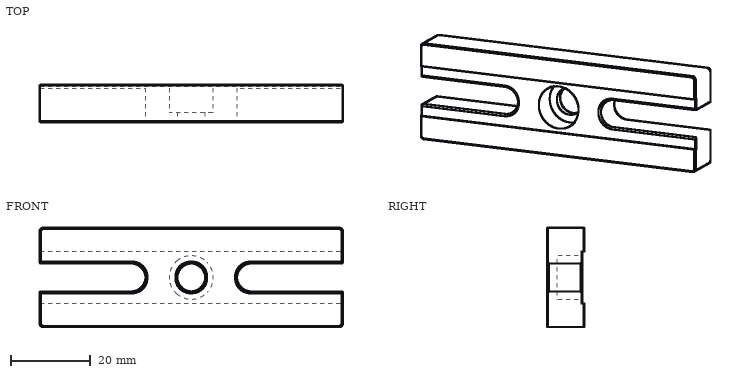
import cadquery as cq
import math

length = 76.2
thickness = 9.5
height = 25.0
corner_radius = 1.0
rim_chamfer = 0.3

channel_width = 13.0
channel_depth = 0.5

bore_diameter = 7.0
bore_chamfer = 0.5
chamfer_angle = 45.0
chamfer_width = bore_diameter + 2 * bore_chamfer
slot_end_center = 15.0
mouth_radius = 0.5

counterbore_diameter = 11.0
bore_land = 2.5

front_y = -thickness / 2
back_y = thickness / 2
channel_floor_y = back_y - channel_depth
end_x = length / 2


def plane_at(y, toward_back=True):
    """Workplane parallel to XZ at the given Y, with its normal along +Y or -Y."""
    normal_y = 1 if toward_back else -1
    return cq.Workplane(cq.Plane(origin=(0, y, 0), xDir=(1, 0, 0), normal=(0, normal_y, 0)))


def make_bar(rear_y):
    """Round-cornered bar from the front face to rear_y, with both rims chamfered."""
    bar = plane_at(front_y).rect(length, height).extrude(rear_y - front_y)
    bar = bar.edges("|Y").fillet(corner_radius)
    return bar.faces("<Y or >Y").edges().chamfer(rim_chamfer)


def make_body():
    """Full-thickness rails above and below a thinner web, each keeping its own rim chamfers."""
    channel_strip = plane_at(front_y).rect(length, channel_width).extrude(thickness)
    rails = make_bar(back_y).cut(channel_strip)
    web = make_bar(channel_floor_y).intersect(channel_strip)
    return rails.union(web)


def make_hole():
    """Centre hole, chamfered at the front and counterbored from the back."""
    bore = plane_at(front_y).circle(bore_diameter / 2).extrude(thickness)
    front_chamfer = plane_at(front_y).circle(chamfer_width / 2).extrude(bore_chamfer, taper=chamfer_angle)
    counterbore = plane_at(front_y + bore_land).circle(counterbore_diameter / 2).extrude(thickness)
    return bore.union(front_chamfer).union(counterbore)


def make_slot(side):
    """Round-ended slot open at one end (side = -1 or 1), chamfered at the front and channel floor."""
    run = length
    middle_x = side * (slot_end_center + run / 2)

    def outline(plane, width):
        return plane.center(middle_x, 0).slot2D(run + width, width)

    slot = outline(plane_at(front_y), bore_diameter).extrude(thickness)
    front_chamfer = outline(plane_at(front_y), chamfer_width).extrude(bore_chamfer, taper=chamfer_angle)
    back_plane = plane_at(channel_floor_y, toward_back=False)
    back_chamfer = outline(back_plane, chamfer_width).extrude(bore_chamfer, taper=chamfer_angle)
    return slot.union(front_chamfer).union(back_chamfer).union(make_mouth(side))


def make_mouth(side):
    """Rounding of the two slot walls into the end face; the rounds are tangent to both."""
    mouth_x = side * end_x
    throat_x = side * (end_x - mouth_radius)
    wall_z = bore_diameter / 2
    lip_z = wall_z + mouth_radius
    arc_inset = mouth_radius * (1 - math.sqrt(0.5))
    arc_x = side * (end_x - arc_inset)
    arc_z = wall_z + arc_inset
    profile = plane_at(front_y).moveTo(throat_x, -wall_z).threePointArc((arc_x, -arc_z), (mouth_x, -lip_z))
    profile = profile.lineTo(mouth_x, lip_z).threePointArc((arc_x, arc_z), (throat_x, wall_z))
    return profile.close().extrude(thickness)


result = make_body().cut(make_hole())
for side in (-1, 1):
    result = result.cut(make_slot(side))